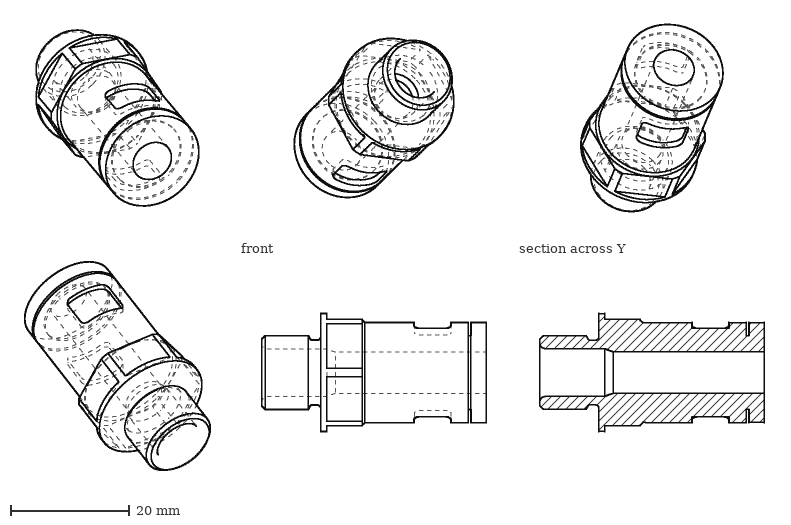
import cadquery as cq
import math

length = 38.0
thread_chamfer = 0.6
thread_end = 7.9
flange_start = 10.0
hex_start = 11.02
hex_end = 17.0
ring_groove_start = 34.92
ring_groove_end = 35.38

thread_diameter = 12.5
neck_diameter = 11.02
flange_diameter = 20.0
body_diameter = 17.0
ring_groove_diameter = 12.5
hex_across_flats = 18.0

runout_angle = 60.0
runout_fillet = 0.23
neck_fillet = 0.57
shoulder_chamfer = 0.45

mouth_fillet = 1.0
bore_diameter = 8.0
inner_bore_diameter = 7.0
bore_step_depth = 11.02
bore_step_angle = 20.0

window_start = 25.75
window_end = 32.0
window_width = 8.0
window_corner = 1.0
window_floor_diameter = 15.0


def cylinder(diameter, start, end):
    """Solid cylinder on the X axis between two stations."""
    return cq.Workplane("YZ", origin=(start, 0, 0)).circle(diameter / 2).extrude(end - start)


def threaded_end():
    """Plain thread cylinder with a sloped, blended run-out into the neck."""
    thread_radius = thread_diameter / 2
    neck_radius = neck_diameter / 2
    slope = math.radians(runout_angle)
    runout_foot = thread_end + (thread_radius - neck_radius) / math.tan(slope)
    tangent = runout_fillet * math.tan(slope / 2)
    blend_start = (
        runout_foot - tangent * math.cos(slope),
        neck_radius + tangent * math.sin(slope),
    )
    blend_end = (runout_foot + tangent, neck_radius)
    profile = (
        cq.Workplane("XY")
        .lineTo(0, thread_radius - thread_chamfer)
        .lineTo(thread_chamfer, thread_radius)
        .lineTo(thread_end, thread_radius)
        .lineTo(*blend_start)
        .radiusArc(blend_end, -runout_fillet)
        .lineTo(flange_start - neck_fillet, neck_radius)
        .radiusArc((flange_start, neck_radius + neck_fillet), -neck_fillet)
        .lineTo(flange_start, 0)
        .close()
    )
    return profile.revolve(360, (0, 0, 0), (1, 0, 0))


def hexagon():
    """Hexagon with flats facing +Z and -Z, its corners rounded to the flange diameter."""
    across_corners = hex_across_flats / math.cos(math.pi / 6)
    prism = (
        cq.Workplane("YZ", origin=(hex_start, 0, 0))
        .polygon(6, across_corners)
        .extrude(hex_end - hex_start)
    )
    return prism.intersect(cylinder(flange_diameter, hex_start, hex_end))


def body():
    """Sleeve with a conical shoulder behind the hexagon and a ring groove near its end."""
    body_radius = body_diameter / 2
    groove_radius = ring_groove_diameter / 2
    profile = (
        cq.Workplane("XY")
        .moveTo(hex_end, 0)
        .lineTo(hex_end, body_radius + shoulder_chamfer)
        .lineTo(hex_end + shoulder_chamfer, body_radius)
        .lineTo(ring_groove_start, body_radius)
        .lineTo(ring_groove_start, groove_radius)
        .lineTo(ring_groove_end, groove_radius)
        .lineTo(ring_groove_end, body_radius)
        .lineTo(length, body_radius)
        .lineTo(length, 0)
        .close()
    )
    return profile.revolve(360, (0, 0, 0), (1, 0, 0))


def windows():
    """Cutter for both rounded windows, leaving a floor concentric with the body."""
    block = (
        cq.Workplane("XY")
        .center((window_start + window_end) / 2, 0)
        .rect(window_end - window_start, window_width)
        .extrude(body_diameter, both=True)
        .edges("|Z")
        .fillet(window_corner)
    )
    return block.cut(cylinder(window_floor_diameter, window_start, window_end))


def bore():
    """Cutter for the through bore: rounded mouth, wide bore, tapered step, narrow bore."""
    bore_radius = bore_diameter / 2
    inner_radius = inner_bore_diameter / 2
    step_length = (bore_radius - inner_radius) / math.tan(math.radians(bore_step_angle))
    profile = (
        cq.Workplane("XY")
        .lineTo(0, bore_radius + mouth_fillet)
        .radiusArc((mouth_fillet, bore_radius), -mouth_fillet)
        .lineTo(bore_step_depth, bore_radius)
        .lineTo(bore_step_depth + step_length, inner_radius)
        .lineTo(length, inner_radius)
        .lineTo(length, 0)
        .close()
    )
    return profile.revolve(360, (0, 0, 0), (1, 0, 0))


flange = cylinder(flange_diameter, flange_start, hex_start)
outside = threaded_end().union(flange).union(hexagon()).union(body())
result = outside.cut(windows()).cut(bore())